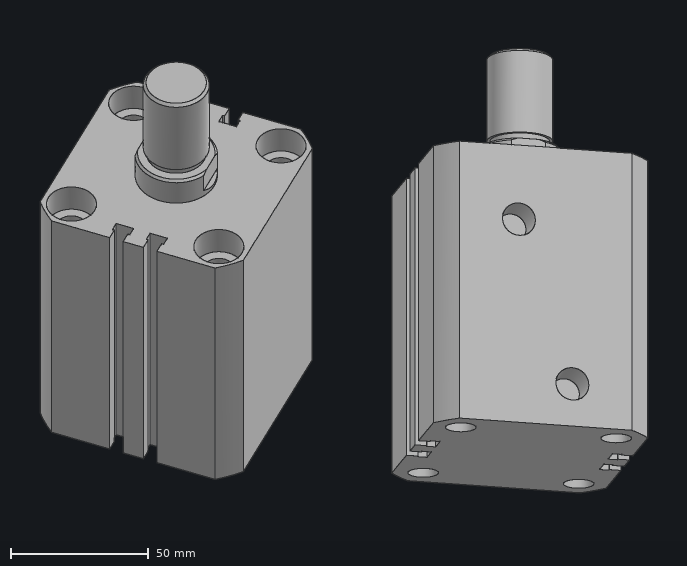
import cadquery as cq

overall_height = 151.0
body_width = 80.0
body_height = 105.1
corner_radius = 51.3

bolt_spacing = 58.0
bolt_hole_dia = 11.0
counterbore_dia = 18.1
counterbore_depth = 11.0

slot_offset = 6.6
slot_mouth_width = 5.3
slot_inner_width = 6.8
slot_lip_depth = 4.4
slot_depth = 7.9

port_mouth_dia = 12.2
port_inner_dia = 11.0
port_depth = 12.1
port_offset = 10.0
upper_port_height = 77.0
lower_port_height = 16.0

collar_dia = 29.9
collar_height = 11.0
collar_chamfer = 0.9
flat_spacing = 27.0
flat_height = 2.7
neck_dia = 21.7
neck_height = 2.9
stud_dia = 24.0
stud_chamfer = 1.0


def make_block():
    square = cq.Workplane("XY").rect(body_width, body_width).extrude(body_height)
    corner_cylinder = cq.Workplane("XY").circle(corner_radius).extrude(body_height)
    return square.intersect(corner_cylinder)


def cut_bolt_holes(block):
    return (
        block.faces(">Z").workplane(origin=(0, 0, body_height))
        .rect(bolt_spacing, bolt_spacing, forConstruction=True).vertices()
        .cboreHole(bolt_hole_dia, counterbore_dia, counterbore_depth)
    )


def make_slot(x, side):
    """One T-section slot at x; side is -1 for the -Y face and +1 for the +Y face."""
    face_y = side * body_width / 2
    mouth_y = face_y - side * slot_depth / 2
    inner_depth = slot_depth - slot_lip_depth
    inner_y = face_y - side * (slot_lip_depth + inner_depth / 2)
    mouth = cq.Workplane("XY").center(x, mouth_y).rect(slot_mouth_width, slot_depth).extrude(body_height)
    inner = cq.Workplane("XY").center(x, inner_y).rect(slot_inner_width, inner_depth).extrude(body_height)
    return mouth.union(inner)


def make_port(y, z):
    """Blind hole that narrows from the -X face inward."""
    return cq.Solid.makeCone(
        port_mouth_dia / 2, port_inner_dia / 2, port_depth,
        pnt=cq.Vector(-body_width / 2, y, z), dir=cq.Vector(1, 0, 0),
    )


def make_housing():
    housing = cut_bolt_holes(make_block())
    for side in (-1, 1):
        for x in (-slot_offset, slot_offset):
            housing = housing.cut(make_slot(x, side))
    for y, z in ((port_offset, upper_port_height), (-port_offset, lower_port_height)):
        housing = housing.cut(make_port(y, z))
    return housing


def make_flat_cutter(side):
    """Wedge that leaves a wrench flat on the collar, with a 45 degree run-out at its lower end."""
    flat_x = flat_spacing / 2
    reach = collar_dia / 2
    top = collar_height
    cutter = (
        cq.Workplane("XZ")
        .moveTo(side * flat_x, top)
        .lineTo(side * flat_x, flat_height)
        .lineTo(side * reach, flat_height - (reach - flat_x))
        .lineTo(side * reach, top)
        .close()
        .extrude(collar_dia / 2, both=True)
    )
    return cutter.translate((0, 0, body_height))


def make_rod():
    """Rod standing on the top face of the housing."""
    stud_height = overall_height - body_height - collar_height - neck_height
    collar = (
        cq.Workplane("XY").workplane(offset=body_height)
        .circle(collar_dia / 2).extrude(collar_height)
        .faces(">Z").chamfer(collar_chamfer)
    )
    for side in (-1, 1):
        collar = collar.cut(make_flat_cutter(side))
    neck = (
        cq.Workplane("XY").workplane(offset=body_height + collar_height)
        .circle(neck_dia / 2).extrude(neck_height)
    )
    stud = (
        cq.Workplane("XY").workplane(offset=overall_height - stud_height)
        .circle(stud_dia / 2).extrude(stud_height)
        .faces(">Z").chamfer(stud_chamfer)
    )
    return collar.union(neck).union(stud)


housing = make_housing()
rod = make_rod()
result = cq.Compound.makeCompound([housing.val(), rod.val()])